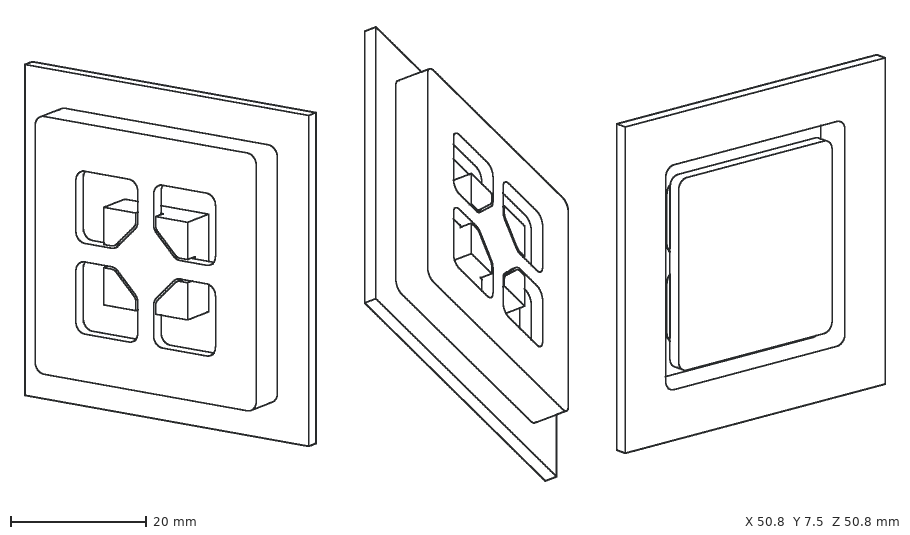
import cadquery as cq
import math

flange_side = 50.8
total_depth = 7.5
flange_thickness = 2.0
box_side = 39.55
box_corner_radius = 1.65
front_wall = 2.0
side_wall = 2.3
cavity_corner_radius = 1.65

bar_width = 2.85
window_side = 11.05
window_corner_radius = 1.65
window_chamfer = 4.05

insert_side = 29.95
insert_corner_radius = 1.65
insert_thickness = 2.0
post_block_side = 15.0
post_clearance = 0.35

front_y = -total_depth / 2
back_y = total_depth / 2
wall_back_y = front_y + front_wall
flange_y = back_y - flange_thickness
insert_front_y = back_y - insert_thickness

chamfer_inset_factor = 2 - math.sqrt(2)

quadrant_signs = [(sx, sz) for sx in (-1, 1) for sz in (-1, 1)]


def square_slab(side, y_start, y_end):
    """Square block centred on the Y axis, spanning y_start to y_end."""
    return cq.Workplane("XY").box(side, y_end - y_start, side).translate((0, (y_start + y_end) / 2, 0))


def rounded_slab(side, radius, y_start, y_end):
    """Square block with its four corners rounded."""
    return square_slab(side, y_start, y_end).edges("|Y").fillet(radius)


def window_prism(sign_x, sign_z, inset, y_start, y_end):
    """Rounded window shape of one quadrant, chamfered toward the centre and shrunk by inset."""
    inner = bar_width / 2 + inset
    outer = bar_width / 2 + window_side - inset
    chamfer = window_chamfer - inset * chamfer_inset_factor
    corners = [
        (inner + chamfer, inner),
        (outer, inner),
        (outer, outer),
        (inner, outer),
        (inner, inner + chamfer),
    ]
    outline = cq.Workplane("XZ", origin=(0, y_end, 0)).polyline([(sign_x * x, sign_z * z) for x, z in corners])
    return outline.close().extrude(y_end - y_start).edges("|Y").fillet(window_corner_radius - inset)


def make_housing():
    """Hollow box open at the back, with a flange around the opening and windows in the front."""
    box = rounded_slab(box_side, box_corner_radius, front_y, back_y)
    flange = square_slab(flange_side, flange_y, back_y)
    cavity = rounded_slab(box_side - 2 * side_wall, cavity_corner_radius, wall_back_y, back_y)
    body = box.union(flange).cut(cavity)
    for sign_x, sign_z in quadrant_signs:
        body = body.cut(window_prism(sign_x, sign_z, 0, front_y, wall_back_y))
    return body


def make_insert():
    """Base plate and square block behind the front wall, with four posts filling part of the windows."""
    plate = rounded_slab(insert_side, insert_corner_radius, insert_front_y, back_y)
    body = plate.union(square_slab(post_block_side, wall_back_y, back_y))
    post_limit = square_slab(post_block_side, front_y, back_y)
    for sign_x, sign_z in quadrant_signs:
        post = window_prism(sign_x, sign_z, post_clearance, front_y, insert_front_y).intersect(post_limit)
        body = body.union(post)
    return body


housing = make_housing()
insert = make_insert()

result = cq.Compound.makeCompound([housing.val(), insert.val()])